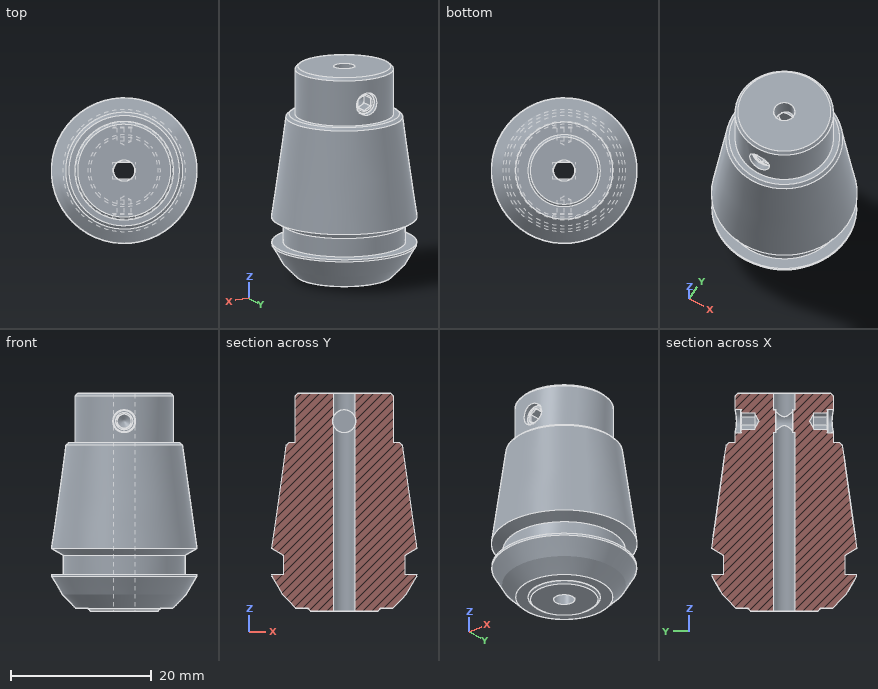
import cadquery as cq

height = 31.0
shoulder_z = 24.0
sleeve_bottom_z = 8.93
neck_top_z = 7.95
flange_top_z = 5.25
flange_rim_z = 4.93
flange_knee_z = 2.32
flange_bottom_z = 0.4

cap_diameter = 14.0
sleeve_top_diameter = 16.62
sleeve_bottom_diameter = 20.75
neck_diameter = 17.4
flange_diameter = 20.6
flange_knee_diameter = 17.58
flange_bottom_diameter = 13.8
bore_diameter = 3.0
edge_chamfer = 0.4
shoulder_chamfer_width = 0.45

boss_diameter = 10.25
boss_chamfer = 0.35

screw_diameter = 3.25
screw_z = 27.0
screw_face_y = 6.2
screw_tip_y = 1.18
screw_chamfer = 0.12
socket_across_flats = 1.98
socket_mouth_diameter = 2.45
socket_mouth_tip_diameter = 1.92
socket_mouth_depth = 0.15
socket_depth = 2.0
socket_cone_depth = 0.55
socket_angle = 30.0
HEX_CORNER_RATIO = 2 / 3 ** 0.5


def turned_body():
    """Cap, tapered sleeve, neck, flange and boss, with the central bore."""
    outline = [
        (bore_diameter / 2, 0),
        (boss_diameter / 2 - boss_chamfer, 0),
        (boss_diameter / 2, boss_chamfer),
        (boss_diameter / 2, flange_bottom_z),
        (flange_bottom_diameter / 2, flange_bottom_z),
        (flange_knee_diameter / 2, flange_knee_z),
        (flange_diameter / 2, flange_rim_z),
        (flange_diameter / 2, flange_top_z),
        (neck_diameter / 2, flange_top_z),
        (neck_diameter / 2, neck_top_z),
        (sleeve_bottom_diameter / 2, sleeve_bottom_z),
        (sleeve_top_diameter / 2, shoulder_z - edge_chamfer),
        (sleeve_top_diameter / 2 - shoulder_chamfer_width, shoulder_z),
        (cap_diameter / 2, shoulder_z),
        (cap_diameter / 2, height - edge_chamfer),
        (cap_diameter / 2 - edge_chamfer, height),
        (bore_diameter / 2, height),
    ]
    return cq.Workplane("XZ").polyline(outline).close().revolve(360, (0, 0), (0, 1))


def screw_plane(distance):
    """Plane across the -Y screw at a distance from the axis, facing outward."""
    return cq.Workplane("XZ", origin=(0, -distance, screw_z))


def screw_hole():
    """Cross hole that holds both screws, reaching past the cap."""
    return screw_plane(-cap_diameter / 2).circle(screw_diameter / 2).extrude(cap_diameter)


def set_screw():
    """Flat-tipped screw on the -Y side with a drilled hexagon socket."""
    screw = screw_plane(screw_tip_y).circle(screw_diameter / 2).extrude(screw_face_y - screw_tip_y)
    screw = screw.faces("<Y").chamfer(screw_chamfer)

    socket_floor_y = screw_face_y - socket_depth
    socket = screw_plane(socket_floor_y).transformed(rotate=(0, 0, socket_angle))
    socket = socket.polygon(6, socket_across_flats * HEX_CORNER_RATIO).extrude(socket_depth)

    face_center = cq.Vector(0, -screw_face_y, screw_z)
    floor_center = cq.Vector(0, -socket_floor_y, screw_z)
    inward = cq.Vector(0, 1, 0)
    mouth = cq.Solid.makeCone(
        socket_mouth_diameter / 2, socket_mouth_tip_diameter / 2, socket_mouth_depth, face_center, inward
    )
    drill_point = cq.Solid.makeCone(socket_across_flats / 2, 0, socket_cone_depth, floor_center, inward)
    return screw.cut(socket).cut(cq.Workplane(mouth)).cut(cq.Workplane(drill_point))


front_screw = set_screw()
back_screw = front_screw.mirror("XZ")
result = turned_body().cut(screw_hole()).union(front_screw).union(back_screw)